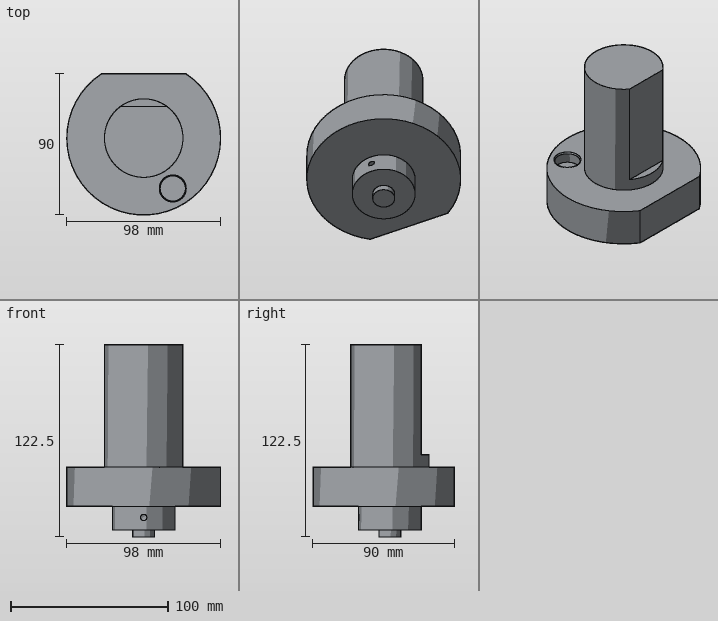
import cadquery as cq
import math

FLANGE_DIAMETER = 98.0
FLANGE_THICKNESS = 25.0
FLANGE_FLAT_Y = 41.0

SHANK_DIAMETER = 49.99
SHANK_LENGTH = 78.0
SHANK_FLAT_Y = 20.0
SHANK_COLLAR_HEIGHT = 8.0

SPIGOT_DIAMETER = 40.0
SPIGOT_LENGTH = 15.0
PIN_DIAMETER = 14.0
PIN_LENGTH = 4.5

POCKET_DIAMETER = 16.01
POCKET_DEPTH = 7.5
POCKET_CHAMFER_DEPTH = 1.0
POCKET_CHAMFER_ANGLE = math.radians(30.0)
POCKET_PITCH_RADIUS = 37.0
POCKET_ANGLE = math.radians(-60.0)

DRILL_DIAMETER = 4.0
DRILL_DEPTH = 4.0
DRILL_TIP_ANGLE = math.radians(130.0)
DRILL_DROP = 7.0

FLANGE_BOTTOM_Z = -FLANGE_THICKNESS
SPIGOT_BOTTOM_Z = FLANGE_BOTTOM_Z - SPIGOT_LENGTH
PIN_BOTTOM_Z = SPIGOT_BOTTOM_Z - PIN_LENGTH


def cylinder(diameter, bottom_z, height):
    """Upright cylinder on the part axis."""
    return cq.Workplane("XY").workplane(offset=bottom_z).circle(diameter / 2).extrude(height)


def cut_flat(body, diameter, flat_y, bottom_z, height):
    """Remove everything beyond flat_y on the +Y side over the given height."""
    depth = diameter / 2 - flat_y
    waste = (
        cq.Workplane("XY")
        .box(diameter, depth, height, centered=(True, False, False))
        .translate((0, flat_y, bottom_z))
    )
    return body.cut(waste)


def make_flange():
    disc = cylinder(FLANGE_DIAMETER, FLANGE_BOTTOM_Z, FLANGE_THICKNESS)
    return cut_flat(disc, FLANGE_DIAMETER, FLANGE_FLAT_Y, FLANGE_BOTTOM_Z, FLANGE_THICKNESS)


def make_shank():
    shank = cylinder(SHANK_DIAMETER, 0, SHANK_LENGTH)
    flat_height = SHANK_LENGTH - SHANK_COLLAR_HEIGHT
    return cut_flat(shank, SHANK_DIAMETER, SHANK_FLAT_Y, SHANK_COLLAR_HEIGHT, flat_height)


def make_pocket():
    """Revolved pocket volume, with the rim chamfer included."""
    radius = POCKET_DIAMETER / 2
    chamfer_width = POCKET_CHAMFER_DEPTH * math.tan(POCKET_CHAMFER_ANGLE)
    profile = [
        (0, 0),
        (radius + chamfer_width, 0),
        (radius, -POCKET_CHAMFER_DEPTH),
        (radius, -POCKET_DEPTH),
        (0, -POCKET_DEPTH),
    ]
    x = POCKET_PITCH_RADIUS * math.cos(POCKET_ANGLE)
    y = POCKET_PITCH_RADIUS * math.sin(POCKET_ANGLE)
    pocket = cq.Workplane("XZ").polyline(profile).close().revolve(360, (0, 0), (0, 1))
    return pocket.translate((x, y, 0))


def make_drilled_hole():
    """Revolved drill volume along +Y, starting on the outermost line of the spigot."""
    radius = DRILL_DIAMETER / 2
    tip_length = radius / math.tan(DRILL_TIP_ANGLE / 2)
    mouth_y = -SPIGOT_DIAMETER / 2
    profile = [
        (0, mouth_y),
        (radius, mouth_y),
        (radius, mouth_y + DRILL_DEPTH),
        (0, mouth_y + DRILL_DEPTH + tip_length),
    ]
    drill = cq.Workplane("XY").polyline(profile).close().revolve(360, (0, 0), (0, 1))
    return drill.translate((0, 0, FLANGE_BOTTOM_Z - DRILL_DROP))


spigot = cylinder(SPIGOT_DIAMETER, SPIGOT_BOTTOM_Z, SPIGOT_LENGTH)
pin = cylinder(PIN_DIAMETER, PIN_BOTTOM_Z, PIN_LENGTH)

result = make_flange().union(make_shank()).union(spigot).union(pin)
result = result.cut(make_pocket()).cut(make_drilled_hole())